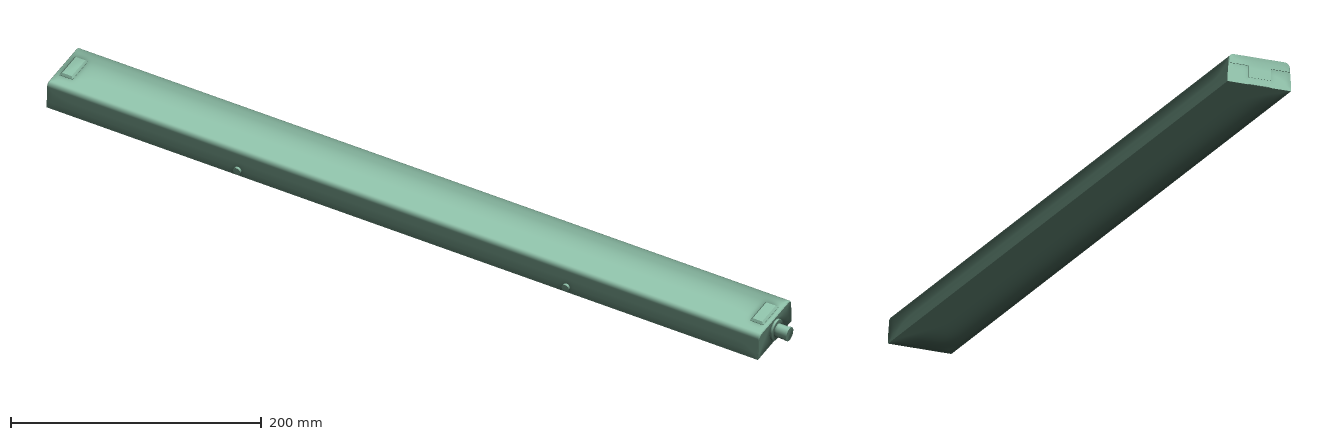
import cadquery as cq

OVERALL_LENGTH = 663.0
BAR_LENGTH = 650.0
BAR_WIDTH = 56.0
BAR_HEIGHT = 24.0
OVERALL_HEIGHT = 26.0

FOOT_HEIGHT = 6.0
TOP_WIDTH = 53.0
SHOULDER_RADIUS = 4.5

PLATE_THICKNESS = 2.0
PLATE_CHAMFER = 0.5
TONGUE_REACH = 14.0
TONGUE_WIDTH = 44.0
TONGUE_THICKNESS = 2.0
PAD_START = 4.0
PAD_LENGTH = 12.0
PAD_WIDTH = 26.0
PAD_HEIGHT = OVERALL_HEIGHT - BAR_HEIGHT
PAD_CHAMFER = 1.65

CORNER_RECESS_HEIGHT = 16.0
CORNER_RECESS_DEPTH = 0.5
WEB_WIDTH = 20.0
WEB_RECESS_DEPTH = 0.3

SCREW_DIAMETER = 6.5
SCREW_HEIGHT = 5.0
SCREW_PROTRUSION = 2.0
SCREW_DEPTH = 4.5
SCREW_SPACING = 300.0
SCREW_X = [(BAR_LENGTH + side * SCREW_SPACING) / 2 for side in (-1, 1)]

CONNECTOR_HEIGHT = 12.0
FLANGE_DIAMETER = 18.0
FLANGE_THICKNESS = 2.0
RIM_DIAMETER = 12.0
RIM_LENGTH = 2.0
NECK_DIAMETER = 11.0


def bar_section(start_x, length):
    """Solid length of the bar's cross-section, extruded along +X."""
    section = (
        cq.Workplane("YZ", origin=(start_x, 0, 0))
        .moveTo(-BAR_WIDTH / 2, 0)
        .lineTo(BAR_WIDTH / 2, 0)
        .lineTo(BAR_WIDTH / 2, FOOT_HEIGHT)
        .lineTo(TOP_WIDTH / 2, BAR_HEIGHT)
        .lineTo(-TOP_WIDTH / 2, BAR_HEIGHT)
        .lineTo(-BAR_WIDTH / 2, FOOT_HEIGHT)
        .close()
        .extrude(length)
    )
    return section.faces(">Z").edges("|X").fillet(SHOULDER_RADIUS)


def mirror_to_right(shape):
    """Mirror a left-end shape to the right end of the bar."""
    return shape.mirror("YZ", (BAR_LENGTH / 2, 0, 0))


def cap_tongue():
    """Strip of the left cap behind its plate, flush in the top of the housing."""
    tongue = cq.Workplane("XY").box(
        TONGUE_REACH - PLATE_THICKNESS, TONGUE_WIDTH, TONGUE_THICKNESS, centered=(False, True, False)
    )
    return tongue.translate((PLATE_THICKNESS, 0, BAR_HEIGHT - TONGUE_THICKNESS))


def cap_pad():
    """Raised pad with sloping sides on top of the tongue."""
    pad = cq.Workplane("XY").box(PAD_LENGTH, PAD_WIDTH, PAD_HEIGHT, centered=(False, True, False))
    pad = pad.faces(">Z").chamfer(PAD_CHAMFER)
    return pad.translate((PAD_START, 0, BAR_HEIGHT))


def make_plain_cap():
    """Left end cap without recesses: end plate, tongue and pad."""
    plate = bar_section(0, PLATE_THICKNESS).faces("<X").chamfer(PLATE_CHAMFER)
    return plate.union(cap_tongue()).union(cap_pad())


def cut_end_recesses(cap):
    """Recess both lower corners and the foot of the web between them."""
    corner_width = (BAR_WIDTH - WEB_WIDTH) / 2
    for side in (-1, 1):
        corner = cq.Workplane("XY").box(
            CORNER_RECESS_DEPTH, corner_width, CORNER_RECESS_HEIGHT, centered=(False, True, False)
        )
        cap = cap.cut(corner.translate((0, side * (WEB_WIDTH + corner_width) / 2, 0)))
    web_foot = cq.Workplane("XY").box(
        WEB_RECESS_DEPTH, WEB_WIDTH, FOOT_HEIGHT, centered=(False, True, False)
    )
    return cap.cut(web_foot)


def make_screw(x):
    """Cylindrical screw head set into the -Y side of the housing."""
    return (
        cq.Workplane("XZ", origin=(x, SCREW_DEPTH - BAR_WIDTH / 2, SCREW_HEIGHT))
        .circle(SCREW_DIAMETER / 2)
        .extrude(SCREW_DEPTH + SCREW_PROTRUSION)
    )


def make_housing():
    """Bar between the cap plates, with seats for the tongues and screws."""
    housing = bar_section(PLATE_THICKNESS, BAR_LENGTH - 2 * PLATE_THICKNESS)
    tongue = cap_tongue()
    housing = housing.cut(tongue).cut(mirror_to_right(tongue))
    for x in SCREW_X:
        housing = housing.cut(make_screw(x))
    return housing


def make_connector():
    """Flange, neck and slightly wider end rim, on one axis along X."""
    neck_length = OVERALL_LENGTH - BAR_LENGTH - FLANGE_THICKNESS - RIM_LENGTH
    return (
        cq.Workplane("YZ", origin=(BAR_LENGTH, 0, CONNECTOR_HEIGHT))
        .circle(FLANGE_DIAMETER / 2)
        .extrude(FLANGE_THICKNESS)
        .faces(">X").workplane()
        .circle(NECK_DIAMETER / 2)
        .extrude(neck_length)
        .faces(">X").workplane()
        .circle(RIM_DIAMETER / 2)
        .extrude(RIM_LENGTH)
    )


housing = make_housing()
plain_cap = make_plain_cap()
left_cap = cut_end_recesses(plain_cap)
right_cap = mirror_to_right(plain_cap)
connector = make_connector()
screws = [make_screw(x).val() for x in SCREW_X]

result = cq.Compound.makeCompound(
    [housing.val(), left_cap.val(), right_cap.val(), connector.val(), *screws]
)